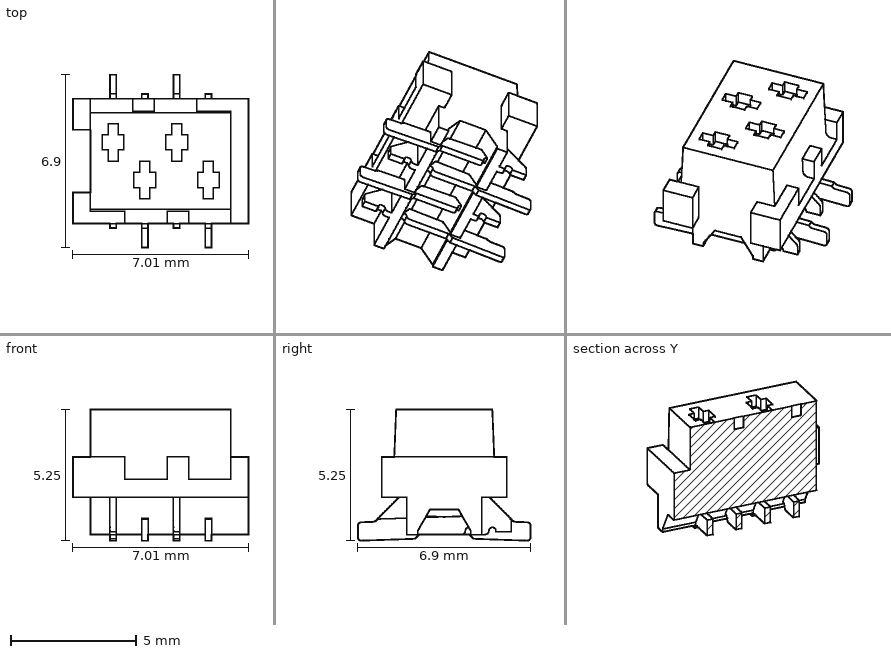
import cadquery as cq
import math

HEIGHT = 5.25
BODY_LENGTH = 5.61
FLANGE_LENGTH = 7.01
FLANGE_WIDTH = 5.0
FLANGE_BOTTOM = 1.74
FLANGE_TOP = 3.36
BODY_TOP_HALF_WIDTH = 1.925
BODY_FLANGE_HALF_WIDTH = 2.0
EAR_GAP = 2.49

BASE_WIDTH = 3.0
BASE_BOTTOM = 0.256
TUNNEL_TOP = 1.254
TUNNEL_TOP_HALF = 0.563
TUNNEL_FOOT_HALF = 1.064
TUNNEL_FOOT_HEIGHT = 0.394

POCKET_FLOOR = 2.46
POCKET_RADIUS = 0.25
OUTER_POCKET = 1.69
INNER_POCKET = 1.71
POST_LENGTH = 0.85

PITCH = 1.27
ROW_OFFSET = 0.75
CROSS_SLOT = (0.4, 1.5)
CROSS_BAR = (0.87, 0.61)
CROSS_DEPTH = 0.5

CONTACT_THICKNESS = 0.26
FOOT_TILT = math.tan(math.radians(2.0))
FOOT_REACH = 3.45
FOOT_TIP_HEIGHT = 0.745
FOOT_TIP_RADIUS = 0.14
FOOT_HEEL = (1.165, 0.08)
FOOT_INSTEP = 0.99
STEP_INNER = 2.68
STEP_OUTER = 2.82
STEP_TOP = 0.87
STEP_SAG = 0.02
ARM_REACH = 2.68
ARM_SHOULDER = 0.87
ARM_TIP_BOTTOM = 0.358
ARM_TIP_RADIUS = 0.22
ARCH_HALF_WIDTH = 0.14
ARCH_TOP = 0.54
ARCH_FLARE = 0.15
OUTER_ARCH = 1.925
INNER_ARCH = 0.98
ANCHOR_Y = 1.4
ANCHOR_DEPTH = 0.2

BODY_END = BODY_LENGTH / 2
FLANGE_END = FLANGE_LENGTH / 2
BODY_DRAFT = (BODY_FLANGE_HALF_WIDTH - BODY_TOP_HALF_WIDTH) / (HEIGHT - FLANGE_TOP)


def block_half_width(z):
    """Half width along Y of the drafted upper block at height z."""
    return BODY_TOP_HALF_WIDTH + BODY_DRAFT * (HEIGHT - z)


def box(x_range, y_range, z_range):
    """Axis-aligned box between the given limits."""
    sizes = [high - low for low, high in (x_range, y_range, z_range)]
    corner = (x_range[0], y_range[0], z_range[0])
    return cq.Workplane("XY").box(*sizes, centered=False).translate(corner)


def extrude_along_x(profile, x_start, x_end):
    """Extrude a closed YZ profile between two X positions."""
    return profile.extrude(x_end - x_start).translate((x_start, 0, 0))


def half_turn(shape):
    """The two sides of the connector are alike under a half turn about Z."""
    return shape.rotate((0, 0, 0), (0, 0, 1), 180)


def make_upper_block():
    bottom_half = block_half_width(FLANGE_BOTTOM)
    profile = cq.Workplane("YZ").polyline([
        (-bottom_half, FLANGE_BOTTOM),
        (bottom_half, FLANGE_BOTTOM),
        (BODY_TOP_HALF_WIDTH, HEIGHT),
        (-BODY_TOP_HALF_WIDTH, HEIGHT),
    ]).close()
    return extrude_along_x(profile, -BODY_END, BODY_END)


def make_flange():
    half_width = FLANGE_WIDTH / 2
    levels = (FLANGE_BOTTOM, FLANGE_TOP)
    flange = box((-FLANGE_END, FLANGE_END), (-half_width, half_width), levels)
    gap = box((-FLANGE_END, -BODY_END), (-EAR_GAP / 2, EAR_GAP / 2), levels)
    return flange.cut(gap)


def make_base():
    half_width = BASE_WIDTH / 2
    return box((-BODY_END, FLANGE_END), (-half_width, half_width), (BASE_BOTTOM, FLANGE_BOTTOM))


def make_tunnel():
    profile = cq.Workplane("YZ").polyline([
        (-TUNNEL_FOOT_HALF, BASE_BOTTOM),
        (-TUNNEL_FOOT_HALF, TUNNEL_FOOT_HEIGHT),
        (-TUNNEL_TOP_HALF, TUNNEL_TOP),
        (TUNNEL_TOP_HALF, TUNNEL_TOP),
        (TUNNEL_FOOT_HALF, TUNNEL_FOOT_HEIGHT),
        (TUNNEL_FOOT_HALF, BASE_BOTTOM),
    ]).close()
    return extrude_along_x(profile, -BODY_END, FLANGE_END)


def make_pocket(x_start, x_end):
    """Flange pocket on the +Y side, with a concave round at the foot of the block wall."""
    round_top = POCKET_FLOOR + POCKET_RADIUS
    wall_low = block_half_width(round_top)
    profile = (
        cq.Workplane("YZ")
        .moveTo(block_half_width(FLANGE_TOP), FLANGE_TOP)
        .lineTo(wall_low, round_top)
        .radiusArc((wall_low + POCKET_RADIUS, POCKET_FLOOR), -POCKET_RADIUS)
        .lineTo(FLANGE_WIDTH / 2, POCKET_FLOOR)
        .lineTo(FLANGE_WIDTH / 2, FLANGE_TOP)
        .close()
    )
    return extrude_along_x(profile, x_start, x_end)


def make_pocket_pair():
    post_start = -BODY_END + OUTER_POCKET
    post_end = post_start + POST_LENGTH
    outer = make_pocket(-BODY_END, post_start)
    inner = make_pocket(post_end, post_end + INNER_POCKET)
    return outer.union(inner)


def make_contact_opening(x, y):
    plane = cq.Workplane("XY", origin=(x, y, HEIGHT - CROSS_DEPTH))
    slot = plane.rect(*CROSS_SLOT).extrude(CROSS_DEPTH)
    bar = plane.rect(*CROSS_BAR).extrude(CROSS_DEPTH)
    return slot.union(bar)


def make_contact(x):
    """Flat contact with its long foot towards +Y and its short arm towards -Y."""
    flange_entry = FLANGE_BOTTOM + ANCHOR_DEPTH
    arm_top_y = -ARM_REACH + (flange_entry - ARM_SHOULDER)
    web_top = STEP_TOP + FOOT_TILT * (STEP_INNER + ANCHOR_Y)
    step_bottom = FOOT_TIP_HEIGHT + FOOT_TILT * (FOOT_REACH - STEP_OUTER)
    spring = ARCH_TOP - ARCH_HALF_WIDTH
    outer_arch_inside = -OUTER_ARCH + ARCH_HALF_WIDTH
    outer_arch_outside = -OUTER_ARCH - ARCH_HALF_WIDTH
    inner_arch_inside = -INNER_ARCH + ARCH_HALF_WIDTH
    inner_arch_outside = -INNER_ARCH - ARCH_HALF_WIDTH
    flare_top = BASE_BOTTOM + ARCH_FLARE
    profile = (
        cq.Workplane("YZ")
        .moveTo(STEP_INNER, STEP_TOP)
        .sagittaArc((STEP_OUTER, step_bottom), -STEP_SAG)
        .lineTo(FOOT_REACH, FOOT_TIP_HEIGHT)
        .lineTo(FOOT_REACH, 0)
        .lineTo(*FOOT_HEEL)
        .lineTo(FOOT_INSTEP, BASE_BOTTOM)
        .lineTo(inner_arch_inside + ARCH_FLARE, BASE_BOTTOM)
        .radiusArc((inner_arch_inside, flare_top), ARCH_FLARE)
        .lineTo(inner_arch_inside, spring)
        .threePointArc((-INNER_ARCH, ARCH_TOP), (inner_arch_outside, spring))
        .lineTo(inner_arch_outside, BASE_BOTTOM)
        .lineTo(outer_arch_inside + ARCH_FLARE, BASE_BOTTOM)
        .radiusArc((outer_arch_inside, flare_top), ARCH_FLARE)
        .lineTo(outer_arch_inside, spring)
        .threePointArc((-OUTER_ARCH, ARCH_TOP), (outer_arch_outside, spring))
        .lineTo(outer_arch_outside, ARM_TIP_BOTTOM)
        .lineTo(-ARM_REACH, ARM_TIP_BOTTOM)
        .lineTo(-ARM_REACH, ARM_SHOULDER)
        .lineTo(arm_top_y, flange_entry)
        .lineTo(-ANCHOR_Y, flange_entry)
        .lineTo(-ANCHOR_Y, web_top)
        .close()
    )
    half_thickness = CONTACT_THICKNESS / 2
    contact = extrude_along_x(profile, x - half_thickness, x + half_thickness)
    contact = contact.faces(">Y").edges("|X").fillet(FOOT_TIP_RADIUS)
    return contact.faces("<Y").edges("|X and >Z").fillet(ARM_TIP_RADIUS)


housing = make_upper_block().union(make_flange()).union(make_base())
housing = housing.cut(make_tunnel())

pockets = make_pocket_pair()
housing = housing.cut(pockets).cut(half_turn(pockets))

result = housing
for contact_x in (-1.5 * PITCH, 0.5 * PITCH):
    opening = make_contact_opening(contact_x, ROW_OFFSET)
    result = result.cut(opening).cut(half_turn(opening))
    contact = make_contact(contact_x)
    result = result.union(contact).union(half_turn(contact))